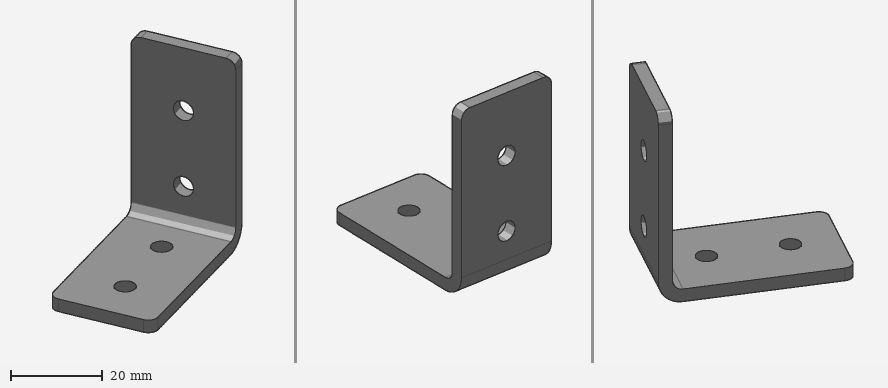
import cadquery as cq

width = 25.4
depth = 44.45
height = 47.6
thickness = 3.2

bend_inner_radius = 2.4
bend_outer_radius = bend_inner_radius + thickness
corner_radius = 2.4

hole_diameter = 4.85
hole_spacing = 19.05
wall_hole_height = 12.7
base_hole_distance = 14.1
outer_hole_offset = 0.4

front_y = -depth / 2
back_y = depth / 2
bottom_z = -height / 2
top_z = height / 2


def bent_plate():
    """L-shaped plate of constant thickness with a rounded bend."""
    profile = (
        cq.Workplane("YZ")
        .moveTo(front_y, bottom_z)
        .lineTo(back_y, bottom_z)
        .lineTo(back_y, top_z)
        .lineTo(back_y - thickness, top_z)
        .lineTo(back_y - thickness, bottom_z + thickness)
        .lineTo(front_y, bottom_z + thickness)
        .close()
    )
    plate = profile.extrude(width / 2, both=True)
    inner_bend = cq.NearestToPointSelector((0, back_y - thickness, bottom_z + thickness))
    outer_bend = cq.NearestToPointSelector((0, back_y, bottom_z))
    plate = plate.edges(inner_bend).fillet(bend_inner_radius)
    return plate.edges(outer_bend).fillet(bend_outer_radius)


def round_free_corners(plate):
    """Round the two corners at the free end of each leg."""
    plate = plate.faces("<Y").edges("|Z").fillet(corner_radius)
    return plate.faces(">Z").edges("|Y").fillet(corner_radius)


def wall_holes():
    """Cutters through the upright leg."""
    lower_z = bottom_z + wall_hole_height
    return (
        cq.Workplane("XZ", origin=(0, back_y, 0))
        .pushPoints([(0, lower_z), (0, lower_z + hole_spacing)])
        .circle(hole_diameter / 2)
        .extrude(thickness)
    )


def base_holes():
    """Cutters through the flat leg; the outer hole sits slightly off centre."""
    inner_y = back_y - base_hole_distance
    return (
        cq.Workplane("XY", origin=(0, 0, bottom_z))
        .pushPoints([(0, inner_y), (outer_hole_offset, inner_y - hole_spacing)])
        .circle(hole_diameter / 2)
        .extrude(thickness)
    )


result = round_free_corners(bent_plate()).cut(wall_holes()).cut(base_holes())